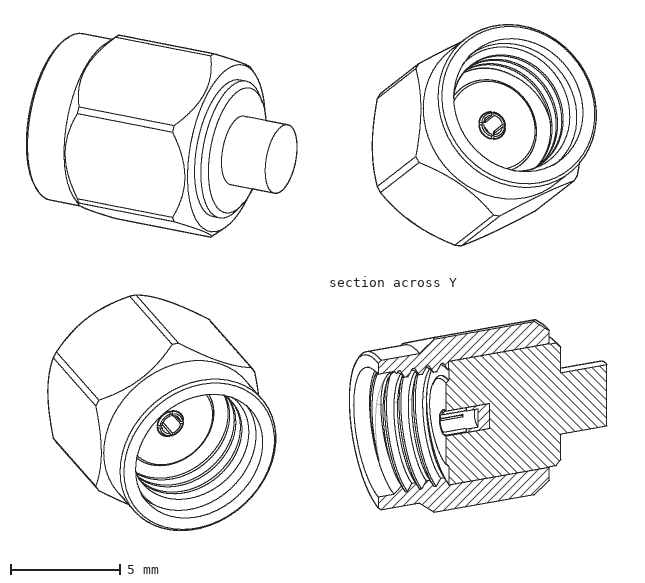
import cadquery as cq
import math


collar_diameter = 7.78
collar_radius = collar_diameter / 2
collar_length = 2.02
collar_chamfer = 0.13
hex_across_flats = 7.94
hex_corner_radius = 4.497
hex_bevel_length = 0.73
nut_length = 8.38

thread_pitch = 0.7
thread_crest_width = thread_pitch / 4
thread_root_width = thread_pitch / 8
thread_flank_angle = 30.0
thread_minor_diameter = 5.54
thread_minor_radius = thread_minor_diameter / 2
mouth_diameter = 6.35
mouth_radius = mouth_diameter / 2
mouth_depth = 0.77
mouth_taper_end = mouth_depth + mouth_radius - thread_minor_radius
thread_start = 0.67
thread_turns = 5

seat_x = 3.45
boss_diameter = 4.45
boss_radius = boss_diameter / 2
boss_height = 0.13
boss_chamfer = 0.11
flange_diameter = 6.38
flange_radius = flange_diameter / 2
flange_end = 8.95
flange_chamfer_length = 0.25
flange_chamfer_depth = 0.28
cable_diameter = 3.2
total_length = 11.2

boss_face_x = seat_x - boss_height
socket_head_diameter = 1.32
socket_head_radius = socket_head_diameter / 2
socket_head_height = 0.11
socket_chamfer = 0.1
socket_stem_diameter = 1.27
socket_stem_radius = socket_stem_diameter / 2
socket_bore_diameter = 0.92
socket_bore_depth = 1.68
socket_slot_width = 0.11
socket_slot_depth = 1.12
socket_length = 2.24
socket_tip_x = boss_face_x - socket_head_height


def turned(profile):
    """Revolve an outline of (x, radius) points about the X axis."""
    return cq.Workplane("XY").polyline(profile).close().revolve(360, (0, 0, 0), (1, 0, 0))


def cylinder(start_x, end_x, diameter):
    return cq.Workplane("YZ", origin=(start_x, 0, 0)).circle(diameter / 2).extrude(end_x - start_x)


def make_nut_blank():
    """Round collar and a hexagon whose corners are bevelled at both ends."""
    collar = turned([
        (0, 0),
        (0, collar_radius - collar_chamfer),
        (collar_chamfer, collar_radius),
        (collar_length, collar_radius),
        (collar_length, 0),
    ])
    bevelled_bar = turned([
        (collar_length, 0),
        (collar_length, collar_radius),
        (collar_length + hex_bevel_length, hex_corner_radius),
        (nut_length - hex_bevel_length, hex_corner_radius),
        (nut_length, collar_radius),
        (nut_length, 0),
    ])
    across_corners = hex_across_flats / math.cos(math.radians(30))
    hexagon = (
        cq.Workplane("YZ", origin=(collar_length, 0, 0))
        .transformed(rotate=(0, 0, 90))
        .polygon(6, across_corners)
        .extrude(nut_length - collar_length)
    )
    return collar.union(hexagon.intersect(bevelled_bar))


def make_thread_groove():
    """Helical groove with a narrow flat root, based just inside the bore so that it cuts cleanly."""
    base_overlap = 0.02
    flank_slope = math.tan(math.radians(thread_flank_angle))
    half_mouth = (thread_pitch - thread_crest_width) / 2
    half_root = thread_root_width / 2
    base_radius = thread_minor_radius - base_overlap
    half_base = half_mouth + base_overlap * flank_slope
    root_radius = thread_minor_radius + (half_mouth - half_root) / flank_slope
    helix = cq.Wire.makeHelix(
        thread_pitch, thread_pitch * thread_turns, thread_minor_radius, dir=cq.Vector(0, 0, 1)
    )
    groove = (
        cq.Workplane("XZ")
        .polyline([
            (base_radius, -half_base),
            (root_radius, -half_root),
            (root_radius, half_root),
            (base_radius, half_base),
        ])
        .close()
        .sweep(cq.Workplane(helix), isFrenet=True)
    )
    groove = groove.rotate((0, 0, 0), (0, 1, 0), 90).translate((thread_start, 0, 0))
    return groove.intersect(cylinder(0, seat_x, collar_diameter))


def make_nut():
    mouth = turned([
        (0, 0),
        (0, mouth_radius),
        (mouth_depth, mouth_radius),
        (mouth_taper_end, thread_minor_radius),
        (mouth_taper_end, 0),
    ])
    bore = cylinder(0, nut_length, thread_minor_diameter)
    rear_bore = cylinder(seat_x, nut_length, flange_diameter)
    threaded = make_nut_blank().cut(bore).cut(make_thread_groove())
    return threaded.cut(rear_bore).cut(mouth)


def make_connector_body():
    body = turned([
        (boss_face_x, 0),
        (boss_face_x, boss_radius - boss_chamfer),
        (boss_face_x + boss_chamfer, boss_radius),
        (seat_x, boss_radius),
        (seat_x, flange_radius),
        (flange_end - flange_chamfer_length, flange_radius),
        (flange_end, flange_radius - flange_chamfer_depth),
        (flange_end, 0),
    ])
    cable = cylinder(flange_end, total_length, cable_diameter)
    socket_hole = cylinder(boss_face_x, socket_tip_x + socket_length, socket_stem_diameter)
    return body.union(cable).cut(socket_hole)


def make_socket():
    socket = turned([
        (socket_tip_x, 0),
        (socket_tip_x, socket_head_radius - socket_chamfer),
        (socket_tip_x + socket_chamfer, socket_head_radius),
        (boss_face_x, socket_head_radius),
        (boss_face_x, socket_stem_radius),
        (socket_tip_x + socket_length, socket_stem_radius),
        (socket_tip_x + socket_length, 0),
    ])
    socket = socket.cut(cylinder(socket_tip_x, socket_tip_x + socket_bore_depth, socket_bore_diameter))
    slot = cq.Workplane("XY").box(
        socket_slot_depth, socket_head_diameter, socket_slot_width, centered=(False, True, True)
    ).translate((socket_tip_x, 0, 0))
    for angle in (0, 90):
        socket = socket.cut(slot.rotate((0, 0, 0), (1, 0, 0), angle))
    return socket


nut = make_nut()
connector_body = make_connector_body()
socket = make_socket()
result = cq.Compound.makeCompound([nut.val(), connector_body.val(), socket.val()])